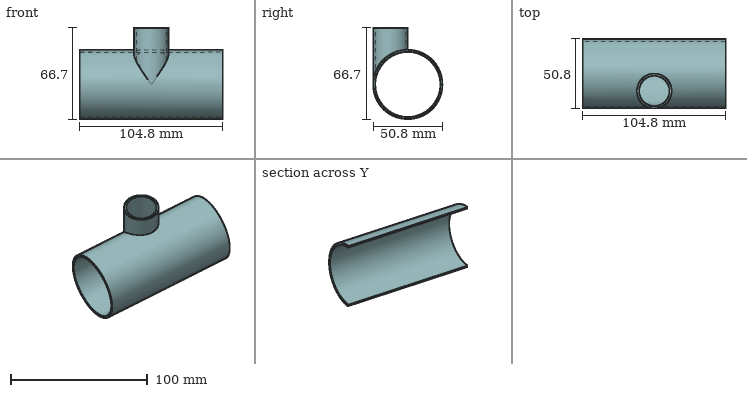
import cadquery as cq

wall = 1.65
run_diameter = 50.8
run_length = 104.78
branch_diameter = 25.4
branch_top = 41.27

run_radius = run_diameter / 2
branch_radius = branch_diameter / 2
branch_y = branch_radius - run_radius


def run_cylinder(radius):
    """Solid cylinder along X, centred on the origin."""
    return cq.Workplane("YZ").circle(radius).extrude(run_length / 2, both=True)


def branch_cylinder(radius):
    """Solid cylinder rising along Z from the run axis to the branch mouth."""
    return cq.Workplane("XY").center(0, branch_y).circle(radius).extrude(branch_top)


outer = run_cylinder(run_radius).union(branch_cylinder(branch_radius))
run_bore = run_cylinder(run_radius - wall)
branch_bore = branch_cylinder(branch_radius - wall)

result = outer.cut(run_bore).cut(branch_bore)